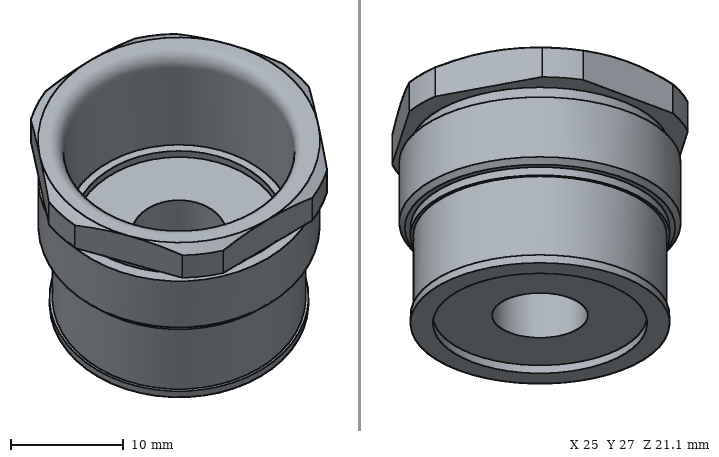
import cadquery as cq
import math

washer_thickness = 0.8
washer_radius = 11.5
washer_hole_radius = 9.5

seal_height = 8.0
seal_radius = 11.25
seal_hole_radius = 4.25
peel_ring_radii = [5.5, 7.0, 8.5]

screw_height = 11.5
screw_bore_radius = 10.25
mouth_round = 1.5
neck_radius = 11.5
neck_height = 1.5
collar_radius = 12.5
collar_chamfer = 0.5
hex_sides = 6
hex_height = 3.5
hex_across_flats = 25.0
hex_corner_radius = 13.5
hex_chamfer_angle = 30.0

lower_washer_bottom = 0.0
seal_bottom = lower_washer_bottom + washer_thickness
upper_washer_bottom = seal_bottom + seal_height
screw_bottom = upper_washer_bottom + washer_thickness


def ring(bottom, height, outer_radius, inner_radius):
    """Flat ring about the Z axis."""
    return (
        cq.Workplane("XY", origin=(0, 0, bottom))
        .circle(outer_radius)
        .circle(inner_radius)
        .extrude(height)
    )


def revolve_profile(profile):
    """Turn a closed (radius, height) outline about the Z axis."""
    return profile.close().revolve(360, (0, 0, 0), (0, 1, 0))


def make_washer(bottom):
    return ring(bottom, washer_thickness, washer_radius, washer_hole_radius)


def make_seal():
    """One solid; the joins between its rings stay as circles on the flat end faces."""
    outer_radii = [*peel_ring_radii, seal_radius]
    seal = ring(seal_bottom, seal_height, outer_radii[0], seal_hole_radius)
    for inner_radius, outer_radius in zip(outer_radii, outer_radii[1:]):
        peel_ring = ring(seal_bottom, seal_height, outer_radius, inner_radius)
        seal = seal.union(peel_ring, clean=False)
    return seal


def make_gland_screw():
    top = screw_bottom + screw_height
    hex_bottom = top - hex_height
    collar_top = hex_bottom - neck_height
    flat_radius = hex_across_flats / 2
    chamfer_drop = (hex_corner_radius - flat_radius) * math.tan(math.radians(hex_chamfer_angle))
    mouth_offset = mouth_round * (1 - math.sqrt(0.5))

    turned_body = revolve_profile(
        cq.Workplane("XZ")
        .moveTo(screw_bore_radius, screw_bottom)
        .lineTo(collar_radius - collar_chamfer, screw_bottom)
        .lineTo(collar_radius, screw_bottom + collar_chamfer)
        .lineTo(collar_radius, collar_top)
        .lineTo(neck_radius, collar_top)
        .lineTo(neck_radius, hex_bottom)
        .lineTo(hex_corner_radius, hex_bottom)
        .lineTo(hex_corner_radius, top - chamfer_drop)
        .lineTo(flat_radius, top)
        .lineTo(screw_bore_radius + mouth_round, top)
        .threePointArc(
            (screw_bore_radius + mouth_offset, top - mouth_offset),
            (screw_bore_radius, top - mouth_round),
        )
    )

    half_side_angle = math.pi / hex_sides
    hex_corner_diameter = hex_across_flats / math.cos(half_side_angle)
    hex_prism = (
        cq.Workplane("XY", origin=(0, 0, screw_bottom))
        .transformed(rotate=(0, 0, 90))
        .polygon(hex_sides, hex_corner_diameter)
        .extrude(screw_height)
    )
    return turned_body.intersect(hex_prism)


gland_screw = make_gland_screw()
seal = make_seal()
washers = [make_washer(bottom) for bottom in (lower_washer_bottom, upper_washer_bottom)]

result = cq.Compound.makeCompound(
    [gland_screw.val(), seal.val(), *[washer.val() for washer in washers]]
)